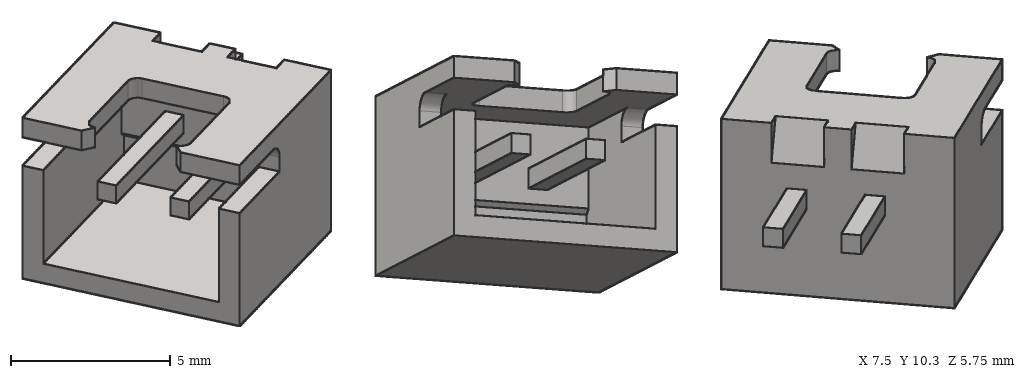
import cadquery as cq
import math

total_length = 10.3
width = 7.5
height = 5.75
depth = 6.89
side_wall = 0.72
plate = 0.7
roof_underside = height - plate

cavity_depth = 5.88
step_back = 0.19
step_height = 2.29
step_rise = 0.16

slot_depth = 3.01
slot_bottom = 4.04
slot_radius = 0.49

window_half_width = 1.74
window_rear = 3.9
window_radius = 0.34
throat_y = 0.36
throat_half_width = window_half_width - window_radius
mouth_half_width = 1.71

pin_size = 0.64
pin_pitch = 2.51
pin_row_x = 0.06
pin_z = 3.27
pin_front = 0.79
notch_pitch = 2.58
notch_width = 1.69
notch_depth = 0.6
notch_slope = 66.0


def box(size_x, center_x, y_start, y_end, z_start, z_end):
    """Box centred at center_x and spanning the given Y and Z ranges."""
    return cq.Workplane("XY").box(
        size_x, y_end - y_start, z_end - z_start, centered=(True, False, False)
    ).translate((center_x, y_start, z_start))


def prism_along_x(points, length, center_x):
    """Extrude a (Y, Z) outline along X, centred at center_x."""
    profile = cq.Workplane("YZ").polyline(points).close()
    return profile.extrude(length / 2, both=True).translate((center_x, 0, 0))


def make_cavity():
    outline = [
        (0, plate),
        (cavity_depth + step_back, plate),
        (cavity_depth + step_back, step_height),
        (cavity_depth, step_height + step_rise),
        (cavity_depth, roof_underside),
        (0, roof_underside),
    ]
    return prism_along_x(outline, width - 2 * side_wall, 0)


def make_side_slots():
    slot = box(width, 0, 0, slot_depth, slot_bottom, roof_underside)
    return slot.edges("|X and >Y and >Z").fillet(slot_radius)


def make_window():
    pane = box(2 * window_half_width, 0, throat_y, window_rear, roof_underside, height)
    pane = pane.edges("|Z").fillet(window_radius)
    mouth = (
        cq.Workplane("XY", origin=(0, 0, roof_underside))
        .polyline([
            (-mouth_half_width, 0),
            (mouth_half_width, 0),
            (throat_half_width, throat_y),
            (-throat_half_width, throat_y),
        ])
        .close()
        .extrude(plate)
    )
    return pane.union(mouth)


def make_notch(center_x):
    drop = notch_depth * math.tan(math.radians(notch_slope))
    outline = [(depth - notch_depth, height), (depth, height), (depth, height - drop)]
    return prism_along_x(outline, notch_width, center_x)


def make_pin(center_x):
    return box(
        pin_size, center_x, pin_front, total_length,
        pin_z - pin_size / 2, pin_z + pin_size / 2,
    )


result = box(width, 0, 0, depth, 0, height)
result = result.cut(make_cavity()).cut(make_side_slots()).cut(make_window())
for side in (-1, 1):
    result = result.cut(make_notch(side * notch_pitch / 2))
    result = result.union(make_pin(pin_row_x + side * pin_pitch / 2))